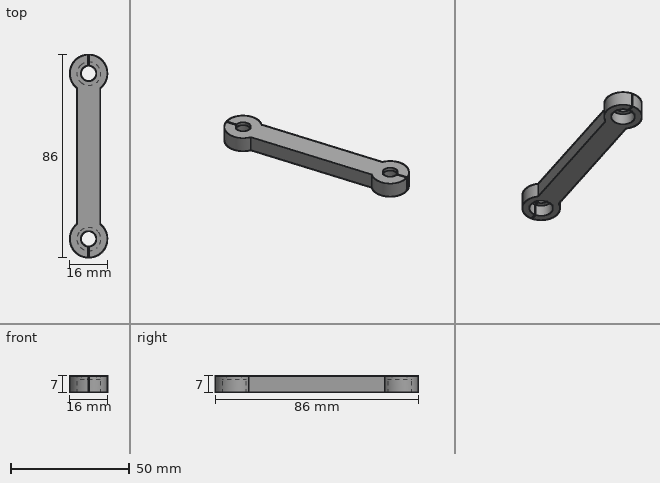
import cadquery as cq

thickness = 7.0
hole_spacing = 70.0
eye_diameter = 16.0
bar_width = 10.0
hole_diameter = 6.4
counterbore_diameter = 10.0
lip_thickness = 1.5
slit_width = 0.46

eye_radius = eye_diameter / 2
counterbore_depth = thickness - lip_thickness
eye_centres = [(0, -hole_spacing / 2), (0, hole_spacing / 2)]
slit_offset = (hole_spacing + eye_radius) / 2
slit_centres = [(0, -slit_offset), (0, slit_offset)]


def cylinders_at_eyes(diameter, height):
    """One cylinder at each eye centre, standing on the bottom face (Z = 0)."""
    return cq.Workplane("XY").pushPoints(eye_centres).circle(diameter / 2).extrude(height)


def make_link_body():
    """Straight bar joining two round eyes."""
    bar = cq.Workplane("XY").rect(bar_width, hole_spacing).extrude(thickness)
    return bar.union(cylinders_at_eyes(eye_diameter, thickness))


def make_slits():
    """Full-height slits from each eye centre out through the end of the link."""
    return cq.Workplane("XY").pushPoints(slit_centres).rect(slit_width, eye_radius).extrude(thickness)


holes = cylinders_at_eyes(hole_diameter, thickness)
counterbores = cylinders_at_eyes(counterbore_diameter, counterbore_depth)

result = make_link_body().cut(holes).cut(counterbores).cut(make_slits())